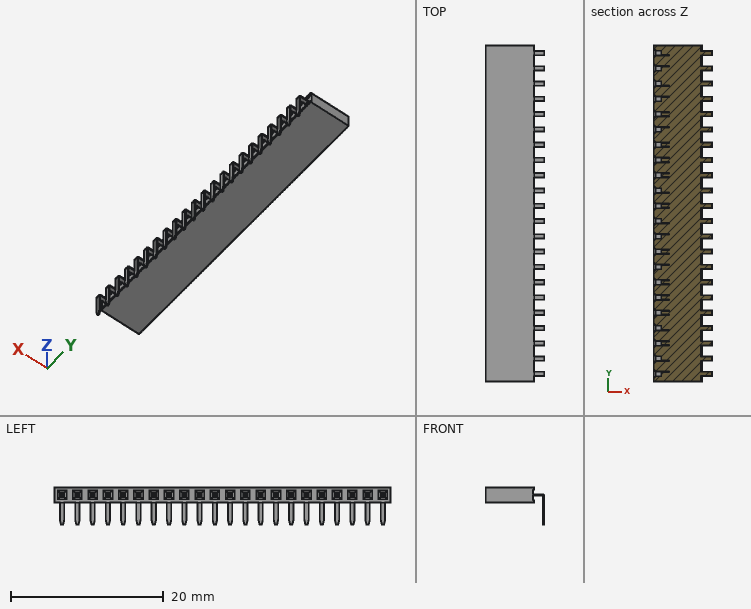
import cadquery as cq

contact_count = 22
pitch = 2.0

housing_depth = 6.35
housing_height = 2.0
housing_length = contact_count * pitch

relief_depth = 0.13
upper_lip = 0.35
lower_lip = 0.3

mouth_size = 1.2
bore_size = 0.6
mouth_depth = (mouth_size - bore_size) / 2
blade_width = 0.5
blade_height = 0.2
socket_depth = 2.0
blade_tip_depth = 1.0

tail_reach = 7.72
tail_drop = 2.9
tail_width = 0.6
tail_thickness = 0.2
tail_center_height = housing_height / 2
bend_outer_radius = 0.3
bend_inner_radius = bend_outer_radius - tail_thickness
tip_length = 0.6
tip_width = 0.3
tail_embedment = 0.5

contact_positions = [(i - (contact_count - 1) / 2) * pitch for i in range(contact_count)]


def make_housing():
    """Plain block with the relief running the full length of its rear face."""
    block = cq.Workplane("XY").box(
        housing_depth, housing_length, housing_height, centered=(False, True, False)
    )
    relief = (
        cq.Workplane("XY")
        .box(
            relief_depth,
            housing_length,
            housing_height - upper_lip - lower_lip,
            centered=(False, True, False),
        )
        .translate((housing_depth - relief_depth, 0, lower_lip))
    )
    return block.cut(relief)


def make_socket(y):
    """Cutting body of one socket: mouth and bore, minus the blade left standing inside."""
    front_face = cq.Workplane("YZ", origin=(0, y, housing_height / 2))
    mouth = (
        front_face.rect(mouth_size, mouth_size)
        .workplane(offset=mouth_depth)
        .rect(bore_size, bore_size)
        .loft(ruled=True)
    )
    bore = front_face.rect(bore_size, bore_size).extrude(socket_depth)
    blade = (
        front_face.workplane(offset=blade_tip_depth)
        .rect(blade_width, blade_height)
        .extrude(socket_depth - blade_tip_depth)
    )
    return mouth.union(bore).cut(blade)


def make_tail(y):
    """Flat strip bent 90 degrees downwards, with a tapered tip."""
    top = tail_center_height + tail_thickness / 2
    start = housing_depth - relief_depth - tail_embedment
    strip = (
        cq.Workplane("XZ", origin=(0, y, 0))
        .moveTo(start, top)
        .lineTo(tail_reach - bend_outer_radius, top)
        .radiusArc((tail_reach, top - bend_outer_radius), bend_outer_radius)
        .lineTo(tail_reach, -tail_drop)
        .lineTo(tail_reach - tail_thickness, -tail_drop)
        .lineTo(tail_reach - tail_thickness, top - bend_outer_radius)
        .radiusArc((tail_reach - bend_outer_radius, top - tail_thickness), -bend_inner_radius)
        .lineTo(start, top - tail_thickness)
        .close()
        .extrude(tail_width / 2, both=True)
    )
    silhouette = (
        cq.Workplane("YZ", origin=(start, y, 0))
        .moveTo(-tail_width / 2, top)
        .lineTo(tail_width / 2, top)
        .lineTo(tail_width / 2, tip_length - tail_drop)
        .lineTo(tip_width / 2, -tail_drop)
        .lineTo(-tip_width / 2, -tail_drop)
        .lineTo(-tail_width / 2, tip_length - tail_drop)
        .close()
        .extrude(tail_reach - start)
    )
    return strip.intersect(silhouette)


sockets = [make_socket(y).val() for y in contact_positions]
tails = [make_tail(y).val() for y in contact_positions]

result = make_housing().cut(cq.Compound.makeCompound(sockets))
result = result.union(cq.Compound.makeCompound(tails))